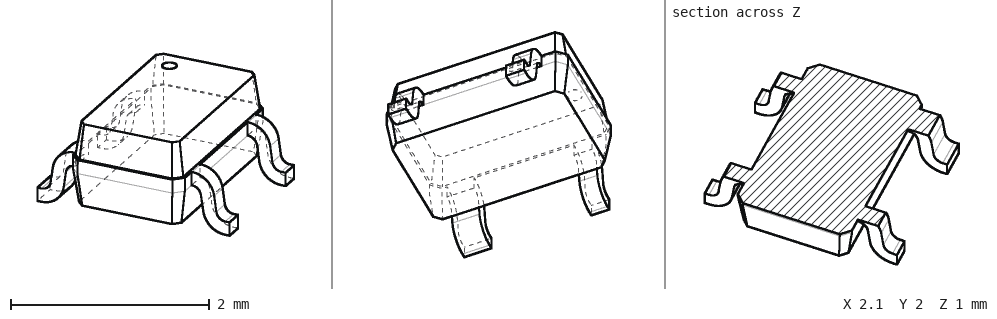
import cadquery as cq
import math

SPAN = 2.1
HEIGHT = 1.0
BODY_X = 1.25
BODY_Y = 2.0

STANDOFF = 0.1
TAPER_ANGLE = math.radians(8)
SHOULDER = 0.023
BELT_CORNER = 0.095
SHOULDER_CORNER = 0.085
TOP_CORNER = 0.057
BOTTOM_CORNER = 0.071

LEAD_THICKNESS = 0.15
INNER_RADIUS = 0.1
OUTER_RADIUS = INNER_RADIUS + LEAD_THICKNESS
FOOT_LENGTH = 0.048
LEAD_LEAN = TAPER_ANGLE
LEAD_INNER_Y = 0.55
NARROW_WIDTH = 0.2
WIDE_WIDTH = 0.3
LEAD_EMBED = 0.063

BELT_BOTTOM = STANDOFF + (HEIGHT - STANDOFF - LEAD_THICKNESS) / 2
BELT_TOP = BELT_BOTTOM + LEAD_THICKNESS

MARK_X = -0.32
MARK_Y = 0.695
MARK_DIAMETER = 0.151
MARK_DEPTH = 0.002


def body_section(z, inset, corner):
    """Rectangular wire with cut corners, set in from the belt outline."""
    x = BODY_X / 2 - inset
    y = BODY_Y / 2 - inset
    points = [
        (x, y - corner), (x - corner, y), (corner - x, y), (-x, y - corner),
        (-x, corner - y), (corner - x, -y), (x - corner, -y), (x, corner - y),
    ]
    return cq.Wire.makePolygon([cq.Vector(px, py, z) for px, py in points], close=True)


def body_layer(lower, upper):
    return cq.Workplane(obj=cq.Solid.makeLoft([lower, upper], True))


def make_body():
    bottom_inset = (BELT_BOTTOM - STANDOFF) * math.tan(TAPER_ANGLE)
    top_inset = SHOULDER + (HEIGHT - BELT_TOP) * math.tan(TAPER_ANGLE)
    belt_base = body_section(BELT_BOTTOM, 0, BELT_CORNER)
    lower_half = body_layer(body_section(STANDOFF, bottom_inset, BOTTOM_CORNER), belt_base)
    belt = body_layer(belt_base, body_section(BELT_TOP, 0, BELT_CORNER))
    upper_half = body_layer(
        body_section(BELT_TOP, SHOULDER, SHOULDER_CORNER),
        body_section(HEIGHT, top_inset, TOP_CORNER),
    )
    return lower_half.union(belt).union(upper_half)


def arc_point(center, radius, angle):
    return (center[0] + radius * math.cos(angle), center[1] + radius * math.sin(angle))


def make_left_lead(width, y_min):
    """Gull-wing lead on the -X side, extruded along Y from y_min."""
    tip_x = -SPAN / 2
    root_x = -BODY_X / 2 + LEAD_EMBED
    sweep = math.pi / 2 - LEAD_LEAN
    bend_radii = INNER_RADIUS + OUTER_RADIUS
    bend_rise = bend_radii * (1 - math.cos(sweep))
    shank_rise = BELT_BOTTOM - bend_rise
    bend_run = bend_radii * math.sin(sweep) + shank_rise * math.tan(LEAD_LEAN)

    foot = (tip_x + FOOT_LENGTH, OUTER_RADIUS)
    shoulder = (foot[0] + bend_run, BELT_TOP - OUTER_RADIUS)
    foot_mid = -math.pi / 2 + sweep / 2
    foot_end = -LEAD_LEAN
    shoulder_start = math.pi - LEAD_LEAN
    shoulder_mid = math.pi / 2 + sweep / 2

    profile = (
        cq.Workplane("XZ")
        .moveTo(tip_x, 0)
        .lineTo(foot[0], 0)
        .threePointArc(arc_point(foot, OUTER_RADIUS, foot_mid), arc_point(foot, OUTER_RADIUS, foot_end))
        .lineTo(*arc_point(shoulder, INNER_RADIUS, shoulder_start))
        .threePointArc(
            arc_point(shoulder, INNER_RADIUS, shoulder_mid),
            (shoulder[0], BELT_BOTTOM),
        )
        .lineTo(root_x, BELT_BOTTOM)
        .lineTo(root_x, BELT_TOP)
        .lineTo(shoulder[0], BELT_TOP)
        .threePointArc(
            arc_point(shoulder, OUTER_RADIUS, shoulder_mid),
            arc_point(shoulder, OUTER_RADIUS, shoulder_start),
        )
        .lineTo(*arc_point(foot, INNER_RADIUS, foot_end))
        .threePointArc(arc_point(foot, INNER_RADIUS, foot_mid), (foot[0], LEAD_THICKNESS))
        .lineTo(tip_x, LEAD_THICKNESS)
        .close()
    )
    return profile.extrude(-width).translate((0, y_min, 0))


def make_mark():
    return (
        cq.Workplane("XY", origin=(MARK_X, MARK_Y, HEIGHT))
        .circle(MARK_DIAMETER / 2)
        .extrude(-MARK_DEPTH)
    )


rear_lead = make_left_lead(NARROW_WIDTH, LEAD_INNER_Y)
wide_front_lead = make_left_lead(WIDE_WIDTH, -LEAD_INNER_Y - WIDE_WIDTH)
narrow_front_lead = make_left_lead(NARROW_WIDTH, -LEAD_INNER_Y - NARROW_WIDTH)

result = make_body()
for lead in (rear_lead, wide_front_lead, rear_lead.mirror("YZ"), narrow_front_lead.mirror("YZ")):
    result = result.union(lead)
result = result.cut(make_mark())